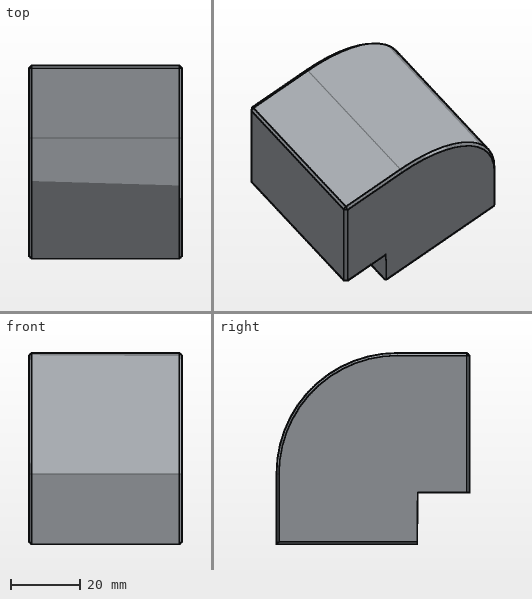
import cadquery as cq

width = 44.4
depth = 55.95
height = 55.45

bend_radius = 35.0
chamfer = 0.8

notch_depth = 15.0
notch_height = 15.0
notch_draft = 0.15


def elbow_body():
    """Block with its upper front edge rounded into the outer bend."""
    block = cq.Workplane("XY").box(width, depth, height, centered=(True, False, False))
    return block.edges("<Y and >Z").fillet(bend_radius)


def break_edges(body):
    """Chamfer both side outlines and the upper back edge."""
    return body.faces("<X or >X").edges().add(body.edges(">Y and >Z")).chamfer(chamfer)


def notch():
    """Cutter that separates the two arms of the elbow."""
    wall_bottom = depth - notch_depth - notch_draft
    wall_top = depth - notch_depth
    return (
        cq.Workplane("YZ")
        .moveTo(wall_bottom, 0)
        .lineTo(depth, 0)
        .lineTo(depth, notch_height)
        .lineTo(wall_top, notch_height)
        .close()
        .extrude(width / 2, both=True)
    )


result = break_edges(elbow_body()).cut(notch())